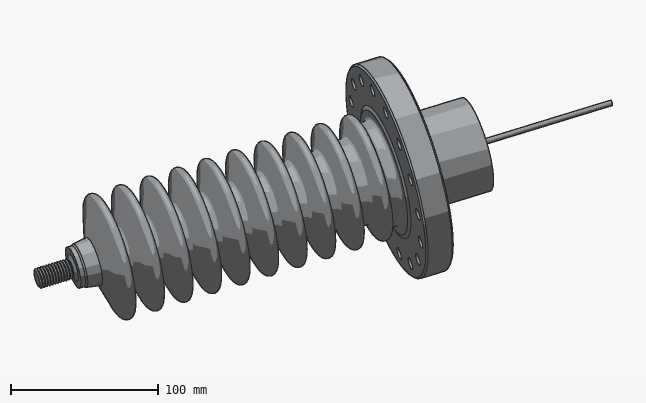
import cadquery as cq
import math


flange_diameter = 152.5
flange_thickness = 20.0
flange_chamfer = 1.3
bolt_count = 16
bolt_circle_diameter = 130.5
bolt_hole_diameter = 8.5

tube_diameter = 66.5
tube_length = 45.5
overall_length = 419.0
rod_diameter = 4.0

collar_base_radius = 47.5
collar_top_radius = 44.5
collar_height = 1.3

shed_count = 10
shed_radius = 45.0
rim_radius = 3.0
first_shed_depth = 14.2
last_shed_depth = 201.5
shed_pitch = (last_shed_depth - first_shed_depth) / (shed_count - 1)
back_flank_angle = math.radians(5)
front_flank_angle = math.radians(19)

first_neck_radius = 37.5
second_neck_radius = 30.5
third_neck_radius = 28.0
neck_step = 1.3
neck_radii = [first_neck_radius, second_neck_radius]
neck_radii += [third_neck_radius - neck_step * i for i in range(shed_count - 2)]
neck_fillet = 3.0

cap_start_depth = 213.5
cap_end_depth = 228.0
cap_base_radius = 17.0
cap_top_radius = 15.5
cap_land_radius = 14.5
cap_land_length = 3.5
cap_bevel_length = 1.3

shoulder_radius = 9.5
shoulder_length = 1.5
thread_crest_radius = 7.0
thread_root_radius = 6.0
thread_pitch = 2.0
thread_turns = 12
stud_tip_depth = 254.5


def turned(profile):
    """Revolve a closed (radius, Y) profile about the Y axis."""
    return profile.close().revolve(360, (0, 0, 0), (0, 1, 0))


def rod_between(diameter, start_y, end_y):
    """Plain cylinder along Y."""
    profile = cq.Workplane("XY").moveTo(0, start_y).lineTo(diameter / 2, start_y)
    return turned(profile.lineTo(diameter / 2, end_y).lineTo(0, end_y))


def make_flange():
    disc = rod_between(flange_diameter, 0, flange_thickness).edges().chamfer(flange_chamfer)
    holes = (
        cq.Workplane("XZ")
        .polarArray(bolt_circle_diameter / 2, 0, 360, bolt_count)
        .circle(bolt_hole_diameter / 2)
        .extrude(-flange_thickness)
    )
    return disc.cut(holes)


def round_corner(profile, corner, incoming, outgoing):
    """Draw up to a corner and round it with the neck fillet; directions are unit vectors."""
    turn = math.acos(incoming[0] * outgoing[0] + incoming[1] * outgoing[1])
    setback = neck_fillet * math.tan(turn / 2)
    start = (corner[0] - setback * incoming[0], corner[1] - setback * incoming[1])
    end = (corner[0] + setback * outgoing[0], corner[1] + setback * outgoing[1])
    bisector = (outgoing[0] - incoming[0], outgoing[1] - incoming[1])
    bisector_length = math.hypot(*bisector)
    reach = neck_fillet * (1 / math.cos(turn / 2) - 1)
    middle = tuple(c + reach * b / bisector_length for c, b in zip(corner, bisector))
    return profile.lineTo(*start).threePointArc(middle, end)


def add_shed(profile, shed_y, back_neck_radius, front_neck_radius):
    """Draw one shed; the last shed runs straight into the cap and has no front neck."""
    along = (0, -1)
    outward = (math.cos(back_flank_angle), -math.sin(back_flank_angle))
    inward = (-math.cos(front_flank_angle), -math.sin(front_flank_angle))
    rim_center = shed_radius - rim_radius

    back_rise = rim_radius / math.cos(back_flank_angle)
    back_rise += (rim_center - back_neck_radius) * math.tan(back_flank_angle)
    profile = round_corner(profile, (back_neck_radius, shed_y + back_rise), along, outward)

    rim_start = (
        rim_center + rim_radius * math.sin(back_flank_angle),
        shed_y + rim_radius * math.cos(back_flank_angle),
    )
    rim_end = (
        rim_center + rim_radius * math.sin(front_flank_angle),
        shed_y - rim_radius * math.cos(front_flank_angle),
    )
    profile = profile.lineTo(*rim_start).threePointArc((shed_radius, shed_y), rim_end)

    if front_neck_radius is None:
        return profile.lineTo(cap_base_radius, -cap_start_depth)
    front_drop = rim_radius / math.cos(front_flank_angle)
    front_drop += (rim_center - front_neck_radius) * math.tan(front_flank_angle)
    return round_corner(profile, (front_neck_radius, shed_y - front_drop), inward, along)


def make_insulator():
    profile = cq.Workplane("XY").lineTo(collar_base_radius, 0)
    profile = profile.lineTo(collar_top_radius, -collar_height)
    profile = round_corner(profile, (first_neck_radius, -collar_height), (-1, 0), (0, -1))
    for i, neck_radius in enumerate(neck_radii):
        next_radius = neck_radii[i + 1] if i + 1 < shed_count else None
        shed_y = -first_shed_depth - shed_pitch * i
        profile = add_shed(profile, shed_y, neck_radius, next_radius)
    return turned(profile.lineTo(0, -cap_start_depth))


def make_cap():
    land_start = cap_end_depth - cap_land_length
    profile = (
        cq.Workplane("XY")
        .moveTo(0, -cap_start_depth)
        .lineTo(cap_base_radius, -cap_start_depth)
        .lineTo(cap_top_radius, -(land_start - cap_bevel_length))
        .lineTo(cap_land_radius, -land_start)
        .lineTo(cap_land_radius, -cap_end_depth)
        .lineTo(0, -cap_end_depth)
    )
    return turned(profile)


def make_stud():
    """Conical shoulder, short root-diameter neck and ring-shaped thread ridges."""
    thread_start = stud_tip_depth - thread_pitch * thread_turns
    profile = (
        cq.Workplane("XY")
        .moveTo(0, -cap_end_depth)
        .lineTo(shoulder_radius, -cap_end_depth)
        .lineTo(thread_root_radius, -(cap_end_depth + shoulder_length))
        .lineTo(thread_root_radius, -thread_start)
    )
    for i in range(thread_turns):
        ridge_start = thread_start + thread_pitch * i
        profile = profile.lineTo(thread_crest_radius, -(ridge_start + thread_pitch / 2))
        profile = profile.lineTo(thread_root_radius, -(ridge_start + thread_pitch))
    return turned(profile.lineTo(0, -stud_tip_depth))


tube_end = flange_thickness + tube_length
rod_end = overall_length - stud_tip_depth

result = (
    make_flange()
    .union(rod_between(tube_diameter, flange_thickness, tube_end))
    .union(rod_between(rod_diameter, tube_end, rod_end))
    .union(make_insulator())
    .union(make_cap())
    .union(make_stud())
)